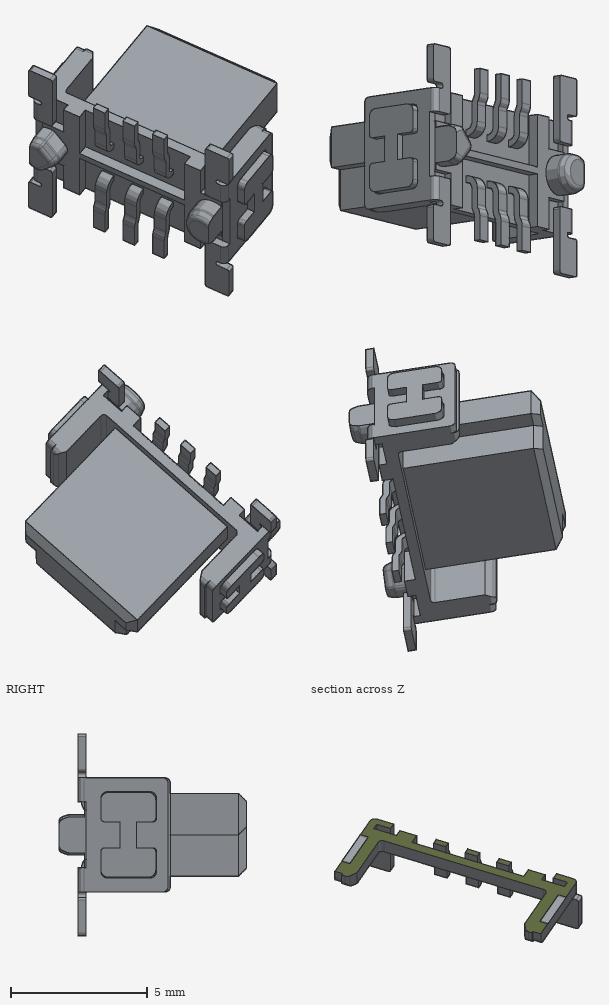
import math

import cadquery as cq


HOUSING_HALF_X = 3.835
HOUSING_HALF_Z = 2.095
HOUSING_BOTTOM_Y = 0.235
FLOOR_Y = 1.02
EAR_TOP_Y = 3.385
EAR_INNER_X = 3.37
EAR_LEAD_IN_X = 0.22
EAR_LEAD_IN_Y = 0.36
EAR_CORNER_RADIUS = 0.2
EAR_TIP_RADIUS = 0.2
EAR_FOOT_RADIUS = 0.15

CONTACT_RECESS_HALF_X = 2.245
CONTACT_RECESS_INNER_Z = 0.13
CONTACT_RECESS_Y = 0.64
FOOT_RECESS_INNER_X = 2.935
FOOT_RECESS_INNER_Z = 0.91
FOOT_RECESS_Y = 0.53

TOWER_TOP_Y = 6.18
TOWER_HALF_Z = 1.52
TOWER_WIDE_HALF_X = 2.79
TOWER_NARROW_HALF_X = 2.26
TOWER_CHAMFER = 0.3

CONTACT_WIDTH = 0.5
CONTACT_PITCH = 1.27
CONTACT_COUNT = 3
CONTACT_THICKNESS = 0.25
CONTACT_END_Z = 3.2
JOGGLE_START_Z = 2.295
JOGGLE_RADIUS = 0.3
JOGGLE_RISE = 0.12
CURL_START_Z = 1.24
CURL_OUTER_RADIUS = 2 * CONTACT_THICKNESS

PLATE_OUTER_X = 4.155
PLATE_BOTTOM_Y = 0.295
PLATE_TOP_Y = 3.3
PLATE_CORNER_RADIUS = 0.2
FOOT_THICKNESS = 0.295
FOOT_INNER_X = 3.275
FOOT_OUTER_X = 4.3
FOOT_INNER_Z = 1.205
FOOT_END_Z = 3.7
FOOT_CORNER_RADIUS = 0.1
BEND_RADIUS = 0.215
NOTCH_WIDTH = 0.2
NOTCH_INNER_X = 3.735

PAD_OUTER_X = 4.445
PAD_HALF_Z = 1.55
PAD_BOTTOM_Y = 0.84
PAD_TOP_Y = 2.85
PAD_NECK_HALF_Z = 0.475
PAD_NECK_BOTTOM_Y = 1.545
PAD_NECK_TOP_Y = 2.145
PAD_OUTER_RADIUS = 0.26
PAD_INNER_RADIUS = 0.14
WINDOW_CLEARANCE = 0.035

PEG_X = 3.49
PEG_RADIUS = 0.745
PEG_TIP_Y = -0.7
PEG_TAPER_START_Y = -0.345
PEG_TAPER_BLEND_RADIUS = 0.18
PEG_TAPER_ANGLE = 19
PEG_TIP_RADIUS = 0.2
PEG_FLAT_EDGE_RADIUS = 0.15
PEG_FLAT_DISTANCE = 0.62
PEG_APEX_RADIUS = 0.36

SELECTION_MARGIN = 0.01
PART_REACH = 2 * HOUSING_HALF_X


def block(x, y, z):
    """Box spanning the given (low, high) ranges."""
    return cq.Workplane("XY").box(
        x[1] - x[0], y[1] - y[0], z[1] - z[0], centered=False
    ).translate((x[0], y[0], z[0]))


def level(y):
    """Workplane at height y with local X = X, local Y = Z and normal -Y."""
    return cq.Workplane("XZ", origin=(0, y, 0))


def mirrored_x(solid):
    return solid.union(solid.mirror("YZ"))


def mirrored_z(solid):
    return solid.union(solid.mirror("XY"))


def make_ear():
    """Ear at +X with a sloped lead-in on its inner face."""
    profile = [
        (HOUSING_HALF_X, HOUSING_BOTTOM_Y),
        (HOUSING_HALF_X, EAR_TOP_Y),
        (EAR_INNER_X + EAR_LEAD_IN_X, EAR_TOP_Y),
        (EAR_INNER_X, EAR_TOP_Y - EAR_LEAD_IN_Y),
        (EAR_INNER_X, HOUSING_BOTTOM_Y),
    ]
    ear = (
        cq.Workplane("XY").polyline(profile).close()
        .extrude(HOUSING_HALF_Z, both=True)
    )
    tip = cq.selectors.NearestToPointSelector((EAR_INNER_X + EAR_LEAD_IN_X, EAR_TOP_Y, 0))
    ear = ear.edges(tip).fillet(EAR_TIP_RADIUS)
    corners = (
        cq.Workplane("YZ")
        .rect(2 * EAR_TOP_Y, 2 * HOUSING_HALF_Z)
        .extrude(2 * HOUSING_HALF_X)
        .edges("|X").fillet(EAR_CORNER_RADIUS)
    )
    return ear.intersect(corners)


def make_housing():
    floor = block(
        (-HOUSING_HALF_X, HOUSING_HALF_X), (HOUSING_BOTTOM_Y, FLOOR_Y), (-HOUSING_HALF_Z, HOUSING_HALF_Z)
    )
    housing = floor.union(mirrored_x(make_ear()))
    for side in (-1, 1):
        root = cq.selectors.NearestToPointSelector((side * EAR_INNER_X, FLOOR_Y, 0))
        housing = housing.edges(root).fillet(EAR_FOOT_RADIUS)
    contact_recess = block(
        (-CONTACT_RECESS_HALF_X, CONTACT_RECESS_HALF_X),
        (HOUSING_BOTTOM_Y, CONTACT_RECESS_Y),
        (CONTACT_RECESS_INNER_Z, HOUSING_HALF_Z),
    )
    foot_recess = block(
        (FOOT_RECESS_INNER_X, HOUSING_HALF_X),
        (HOUSING_BOTTOM_Y, FOOT_RECESS_Y),
        (FOOT_RECESS_INNER_Z, HOUSING_HALF_Z),
    )
    return housing.cut(mirrored_z(contact_recess.union(mirrored_x(foot_recess))))


def make_tower():
    profile = [
        (-TOWER_WIDE_HALF_X, TOWER_HALF_Z),
        (TOWER_WIDE_HALF_X, TOWER_HALF_Z),
        (TOWER_WIDE_HALF_X, 0),
        (TOWER_NARROW_HALF_X, 0),
        (TOWER_NARROW_HALF_X, -TOWER_HALF_Z),
        (-TOWER_NARROW_HALF_X, -TOWER_HALF_Z),
        (-TOWER_NARROW_HALF_X, 0),
        (-TOWER_WIDE_HALF_X, 0),
    ]
    tower = level(FLOOR_Y).polyline(profile).close().extrude(FLOOR_Y - TOWER_TOP_Y)
    return tower.faces(">Y").chamfer(TOWER_CHAMFER)


def make_contact():
    """Contact at X = 0 on the +Z side: flat foot, two-arc joggle, flat, then a curl into the housing."""
    thickness = CONTACT_THICKNESS
    wide_radius = JOGGLE_RADIUS + thickness
    radius_sum = JOGGLE_RADIUS + wide_radius
    angle = math.acos(1 - JOGGLE_RISE / radius_sum)
    first_center = (wide_radius, JOGGLE_START_Z)
    second_center = (JOGGLE_RISE - JOGGLE_RADIUS, JOGGLE_START_Z - radius_sum * math.sin(angle))
    joggle_end_z = second_center[1]
    curl_center = (JOGGLE_RISE + CURL_OUTER_RADIUS, CURL_START_Z)
    curl_inner_radius = CURL_OUTER_RADIUS - thickness

    def on_first(radius, a):
        return (first_center[0] - radius * math.cos(a), first_center[1] - radius * math.sin(a))

    def on_second(radius, a):
        return (second_center[0] + radius * math.cos(a), second_center[1] + radius * math.sin(a))

    def on_curl(radius, a):
        return (curl_center[0] - radius * math.cos(a), curl_center[1] - radius * math.sin(a))

    half = angle / 2
    quarter_turn = math.pi / 2
    eighth_turn = math.pi / 4
    return (
        cq.Workplane("YZ", origin=(-CONTACT_WIDTH / 2, 0, 0))
        .moveTo(0, CONTACT_END_Z)
        .lineTo(0, JOGGLE_START_Z)
        .threePointArc(on_first(wide_radius, half), on_first(wide_radius, angle))
        .threePointArc(on_second(JOGGLE_RADIUS, half), (JOGGLE_RISE, joggle_end_z))
        .lineTo(JOGGLE_RISE, CURL_START_Z)
        .threePointArc(on_curl(CURL_OUTER_RADIUS, eighth_turn), on_curl(CURL_OUTER_RADIUS, quarter_turn))
        .lineTo(CONTACT_RECESS_Y, curl_center[1] - CURL_OUTER_RADIUS)
        .lineTo(CONTACT_RECESS_Y, curl_center[1] - curl_inner_radius)
        .lineTo(*on_curl(curl_inner_radius, quarter_turn))
        .threePointArc(on_curl(curl_inner_radius, eighth_turn), on_curl(curl_inner_radius, 0))
        .lineTo(JOGGLE_RISE + thickness, joggle_end_z)
        .threePointArc(on_second(wide_radius, half), on_second(wide_radius, angle))
        .threePointArc(on_first(JOGGLE_RADIUS, half), (thickness, JOGGLE_START_Z))
        .lineTo(thickness, CONTACT_END_Z)
        .close()
        .extrude(CONTACT_WIDTH)
    )


def make_foot():
    """Solder foot at +X, +Z, with a notch beside the bend."""
    foot = block((FOOT_INNER_X, FOOT_OUTER_X), (0, FOOT_THICKNESS), (HOUSING_HALF_Z, FOOT_END_Z))
    notch_radius = NOTCH_WIDTH / 2
    notch_z = HOUSING_HALF_Z + notch_radius
    notch_center_x = NOTCH_INNER_X + notch_radius
    notch = block(
        (notch_center_x, FOOT_OUTER_X), (0, FOOT_THICKNESS), (HOUSING_HALF_Z, HOUSING_HALF_Z + NOTCH_WIDTH)
    ).union(level(0).center(notch_center_x, notch_z).circle(notch_radius).extrude(-FOOT_THICKNESS))
    foot = foot.cut(notch)
    foot = foot.edges("|Y").edges(">X or >Z").fillet(FOOT_CORNER_RADIUS)
    bend = block((FOOT_INNER_X, PLATE_OUTER_X), (0, FOOT_THICKNESS), (FOOT_INNER_Z, HOUSING_HALF_Z))
    bend = bend.edges("|Z and >X and <Y").fillet(BEND_RADIUS)
    bend = bend.edges("|Y and <X and <Z").fillet(FOOT_CORNER_RADIUS)
    return foot.union(bend)


def h_shape(clearance):
    """H outline solid from the ear to the pad face; clearance widens its ends and +Y side."""
    half_z = PAD_HALF_Z + clearance
    top_y = PAD_TOP_Y + clearance
    depth = PAD_OUTER_X - HOUSING_HALF_X
    plane = cq.Workplane("YZ", origin=(HOUSING_HALF_X, 0, 0))
    bar_center = ((PAD_BOTTOM_Y + top_y) / 2, (PAD_NECK_HALF_Z + half_z) / 2)
    bar = (
        plane.center(*bar_center)
        .rect(top_y - PAD_BOTTOM_Y, half_z - PAD_NECK_HALF_Z)
        .extrude(depth)
    )
    bar = bar.edges("|X and >Z").fillet(PAD_OUTER_RADIUS)
    bar = bar.edges("|X and <Z").fillet(PAD_INNER_RADIUS)
    neck = block(
        (HOUSING_HALF_X, PAD_OUTER_X),
        (PAD_NECK_BOTTOM_Y, PAD_NECK_TOP_Y),
        (-PAD_NECK_HALF_Z, PAD_NECK_HALF_Z),
    )
    return mirrored_z(bar).union(neck)


def make_nail():
    """Retention nail on the +X ear, with the pad in its window."""
    plate = block(
        (HOUSING_HALF_X, PLATE_OUTER_X), (PLATE_BOTTOM_Y, PLATE_TOP_Y), (-HOUSING_HALF_Z, HOUSING_HALF_Z)
    )
    plate = plate.edges("|X and >Y").fillet(PLATE_CORNER_RADIUS)
    plate = plate.cut(h_shape(WINDOW_CLEARANCE)).union(h_shape(0))
    return plate.union(mirrored_z(make_foot()))


def make_peg(outline):
    """Straight shank, tapered tip and rounded end on the outline that the given function draws."""
    shank = outline(FLOOR_Y).extrude(FLOOR_Y - PEG_TAPER_START_Y)
    tip = outline(PEG_TAPER_START_Y).extrude(PEG_TAPER_START_Y - PEG_TIP_Y, taper=PEG_TAPER_ANGLE)
    taper_edges = cq.selectors.BoxSelector(
        (-PART_REACH, PEG_TAPER_START_Y - SELECTION_MARGIN, -PART_REACH),
        (PART_REACH, PEG_TAPER_START_Y + SELECTION_MARGIN, PART_REACH),
    )
    peg = shank.union(tip).faces("<Y").edges().fillet(PEG_TIP_RADIUS)
    return peg.edges(taper_edges).fillet(PEG_TAPER_BLEND_RADIUS)


def round_outline(y):
    return level(y).center(PEG_X, 0).circle(PEG_RADIUS)


def wedge_outline(y):
    """Two 45-degree flats that meet in a rounded apex, open far beyond the peg on the other side."""
    root_half = math.sqrt(0.5)
    far_end = 2 * PEG_RADIUS
    flats_meet_x = -PEG_X + PEG_FLAT_DISTANCE / root_half
    apex_center_x = flats_meet_x - PEG_APEX_RADIUS / root_half
    tangent_x = apex_center_x + PEG_APEX_RADIUS * root_half
    tangent_z = PEG_APEX_RADIUS * root_half
    return (
        level(y)
        .moveTo(flats_meet_x - far_end, far_end)
        .lineTo(tangent_x, tangent_z)
        .threePointArc((apex_center_x + PEG_APEX_RADIUS, 0), (tangent_x, -tangent_z))
        .lineTo(flats_meet_x - far_end, -far_end)
        .lineTo(-PEG_X - far_end, -far_end)
        .lineTo(-PEG_X - far_end, far_end)
        .close()
    )


def flat_edge_box(side):
    """Box selector for the edges where the round side of the -X peg meets the flat on the given Z side."""
    along = math.sqrt(PEG_RADIUS ** 2 - PEG_FLAT_DISTANCE ** 2)
    edge_x = -PEG_X + (PEG_FLAT_DISTANCE - along) * math.sqrt(0.5)
    near_corner = (-PEG_X + SELECTION_MARGIN, PEG_TIP_Y, side * PEG_FLAT_DISTANCE * math.sqrt(0.5))
    far_corner = (edge_x + SELECTION_MARGIN, FLOOR_Y, side * PEG_RADIUS)
    return cq.selectors.BoxSelector(near_corner, far_corner)


def make_pegs():
    """Round peg at +X and five-sided peg at -X, both trimmed flush with the ends of the housing."""
    round_peg = make_peg(round_outline)
    five_sided_peg = round_peg.mirror("YZ").intersect(make_peg(wedge_outline))
    for side in (-1, 1):
        five_sided_peg = five_sided_peg.edges(flat_edge_box(side)).fillet(PEG_FLAT_EDGE_RADIUS)
    trim = block((-HOUSING_HALF_X, HOUSING_HALF_X), (PEG_TIP_Y, FLOOR_Y), (-PEG_RADIUS, PEG_RADIUS))
    return round_peg.union(five_sided_peg).intersect(trim)


result = make_housing().union(make_tower())
contact_pair = mirrored_z(make_contact())
for index in range(CONTACT_COUNT):
    contact_x = (index - (CONTACT_COUNT - 1) / 2) * CONTACT_PITCH
    result = result.union(contact_pair.translate((contact_x, 0, 0)))
result = result.union(mirrored_x(make_nail()))
result = result.union(make_pegs())